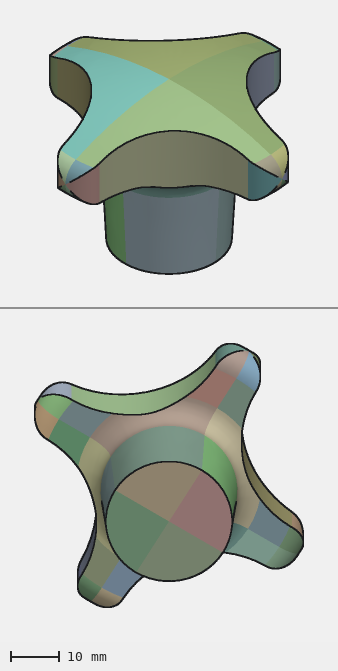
import cadquery as cq
import math

span = 63.0
height = 40.0
underside_z = 25.0
tip_radius = 5.0
stem_bottom_radius = 13.0
stem_top_radius = 14.05
flare_radius = 5.0

tip_center = span / 2 - tip_radius
tip_z = underside_z + tip_radius

hollow_radius = tip_center - tip_radius
hollow_depth = tip_center - hollow_radius * math.sqrt(0.5)

tip_drop = height - tip_z
crown_radius = (tip_center**2 + tip_drop**2 - tip_radius**2) / (2 * (tip_drop - tip_radius))
crown_center_z = height - crown_radius
crown_slope = math.atan2(tip_center, tip_z - crown_center_z)


def plan_quarter():
    """Quarter of the cross outline, between +X and +Y, over the full height."""
    diagonal = math.sqrt(0.5)
    cap_inner = tip_radius * diagonal
    cap_outer = tip_center + tip_radius * diagonal
    return (
        cq.Workplane("XY")
        .lineTo(span / 2, 0)
        .threePointArc((cap_outer, cap_inner), (tip_center, tip_radius))
        .threePointArc((hollow_depth, hollow_depth), (tip_radius, tip_center))
        .threePointArc((cap_inner, cap_outer), (0, span / 2))
        .close()
        .extrude(height)
    )


def turned_quarter():
    """Quarter body of revolution: tapered stem, hollow flare, rounded rim and crown."""
    flare_start_z = underside_z - flare_radius
    flare_outer_radius = stem_top_radius + flare_radius
    flare_middle = flare_radius * math.sqrt(0.5)
    rim_middle = tip_radius * math.sqrt(0.5)
    shoulder_x = tip_center + tip_radius * math.sin(crown_slope)
    shoulder_z = tip_z + tip_radius * math.cos(crown_slope)
    crown_middle_x = crown_radius * math.sin(crown_slope / 2)
    crown_middle_z = crown_center_z + crown_radius * math.cos(crown_slope / 2)
    return (
        cq.Workplane("XZ")
        .lineTo(stem_bottom_radius, 0)
        .lineTo(stem_top_radius, flare_start_z)
        .threePointArc(
            (flare_outer_radius - flare_middle, flare_start_z + flare_middle),
            (flare_outer_radius, underside_z),
        )
        .lineTo(tip_center, underside_z)
        .threePointArc((tip_center + rim_middle, tip_z - rim_middle), (span / 2, tip_z))
        .tangentArcPoint((shoulder_x, shoulder_z), relative=False)
        .threePointArc((crown_middle_x, crown_middle_z), (0, height))
        .close()
        .revolve(90, (0, 0), (0, 1))
    )


quarter = plan_quarter().intersect(turned_quarter())
result = quarter
for turn in (90, 180, 270):
    result = result.union(quarter.rotate((0, 0, 0), (0, 0, 1), turn), clean=False)